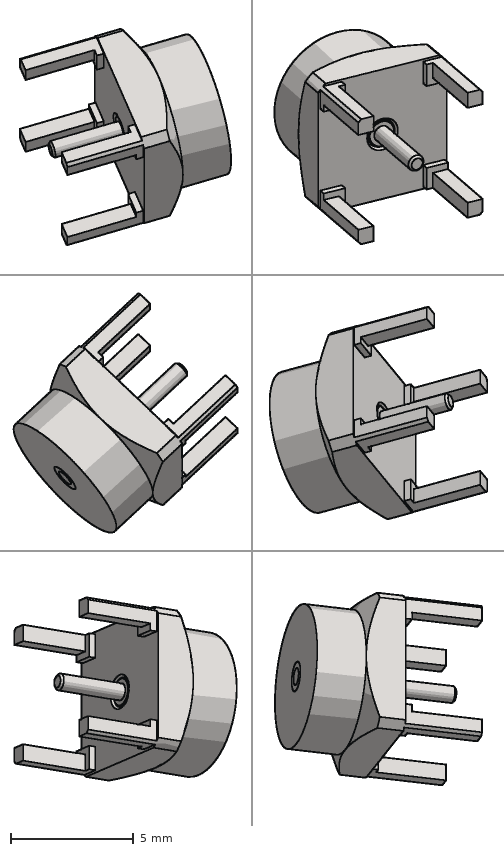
import cadquery as cq
import math

width = 5.99
corner_diameter = 7.99
barrel_length = 2.1
body_length = 3.79
cone_angle = 30
overall_length = 7.09
leg_length = overall_length - body_length

leg_inset = 0.105
leg_size = 0.7
foot_size = 1.0
foot_height = 0.3

bore_diameter = 1.24
bore_chamfer = 0.1
insulator_diameter = 1.22
insulator_chamfer = 0.05
insulator_recess = 0.05
pin_diameter = 0.71
pin_length = 3.0
pin_chamfer = 0.1

back_y = body_length
shoulder_y = body_length - barrel_length


def rod(diameter, front_y, end_y):
    """Cylinder along Y from front_y to end_y."""
    return (
        cq.Workplane("XZ", origin=(0, front_y, 0))
        .circle(diameter / 2)
        .extrude(front_y - end_y)
    )


def square_post(size, length, x_sign, z_sign):
    """Square post reaching forward from the block face in one corner."""
    center = width / 2 - leg_inset - size / 2
    return (
        cq.Workplane("XZ")
        .center(x_sign * center, z_sign * center)
        .rect(size, size)
        .extrude(length)
    )


def shoulder_cone():
    """Envelope that slopes from the barrel out to the rounded corners and covers the legs."""
    barrel_radius = width / 2
    corner_radius = corner_diameter / 2
    cone_depth = (corner_radius - barrel_radius) * math.tan(math.radians(cone_angle))
    return (
        cq.Workplane("XY")
        .moveTo(0, shoulder_y)
        .lineTo(barrel_radius, shoulder_y)
        .lineTo(corner_radius, shoulder_y - cone_depth)
        .lineTo(corner_radius, -leg_length)
        .lineTo(0, -leg_length)
        .close()
        .revolve(360, (0, 0, 0), (0, 1, 0))
    )


def make_housing():
    block = cq.Workplane("XZ").rect(width, width).extrude(-shoulder_y)
    for x_sign in (-1, 1):
        for z_sign in (-1, 1):
            block = block.union(square_post(foot_size, foot_height, x_sign, z_sign))
            block = block.union(square_post(leg_size, leg_length, x_sign, z_sign))
    block = block.intersect(shoulder_cone())
    barrel = rod(width, shoulder_y, back_y)
    bore = rod(bore_diameter, 0, back_y)
    mouth_diameter = bore_diameter + 2 * bore_chamfer
    mouth = cq.Workplane("XY").add(
        cq.Solid.makeCone(
            mouth_diameter / 2,
            bore_diameter / 2,
            bore_chamfer,
            pnt=cq.Vector(0, 0, 0),
            dir=cq.Vector(0, 1, 0),
        )
    )
    return block.union(barrel).cut(bore).cut(mouth)


def make_insulator():
    sleeve = rod(insulator_diameter, insulator_recess, back_y)
    sleeve = sleeve.faces("<Y").chamfer(insulator_chamfer)
    return sleeve.cut(rod(pin_diameter, insulator_recess, back_y))


def make_pin():
    return rod(pin_diameter, -pin_length, back_y).faces("<Y").chamfer(pin_chamfer)


housing = make_housing()
insulator = make_insulator()
pin = make_pin()
result = cq.Compound.makeCompound([housing.val(), insulator.val(), pin.val()])